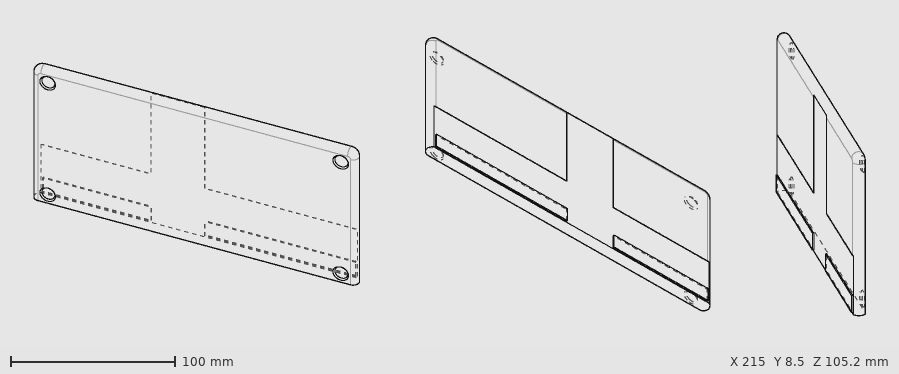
import cadquery as cq

width = 215.0
height = 105.2
overall_thickness = 8.5
strip_projection = 0.6
thickness = overall_thickness - strip_projection
rim_radius = thickness / 2
corner_radius = 6.0

dish_outer_radius = 5.2
dish_floor_radius = 4.3
dish_depth = 1.0
dish_from_side = 10.5
dish_from_bottom = 6.9
dish_from_top = 10.1

relief_depth = 0.2
band_height = 38.3
channel_left = -31.8
channel_right = 3.7

strip_bottom = 0.9
strip_height = 11.2

core_side = width / 2 - rim_radius
core_top = height - rim_radius
core_corner = corner_radius - rim_radius
relief_floor = thickness - relief_depth


def rim_path():
    """The rim centre line: up one side, across the top and down, with round corners."""
    arc_x = core_side - core_corner
    arc_z = core_top - core_corner
    arc_middle = core_corner * 0.5 ** 0.5
    return (
        cq.Workplane("XZ")
        .moveTo(-core_side, 0)
        .lineTo(-core_side, arc_z)
        .threePointArc((-arc_x - arc_middle, arc_z + arc_middle), (-arc_x, core_top))
        .lineTo(arc_x, core_top)
        .threePointArc((arc_x + arc_middle, arc_z + arc_middle), (core_side, arc_z))
        .lineTo(core_side, 0)
    )


def make_core():
    """The flat plate inside the rim."""
    return rim_path().close().extrude(-thickness)


def make_rim():
    """A half round swept along both sides and the top of the plate."""
    return (
        cq.Workplane("XY")
        .moveTo(-core_side, 0)
        .threePointArc((-width / 2, rim_radius), (-core_side, thickness))
        .close()
        .sweep(rim_path())
    )


def make_dish(x, z):
    """Cutter for one dish: a cone frustum that narrows from the front face inward."""
    return (
        cq.Workplane("XZ")
        .center(x, z)
        .circle(dish_outer_radius)
        .workplane(offset=-dish_depth)
        .circle(dish_floor_radius)
        .loft()
    )


def box_on_relief(left, right, bottom, top):
    """A block that reaches from the relief floor to the rearmost plane of the part."""
    return (
        cq.Workplane("XY")
        .box(right - left, overall_thickness - relief_floor, top - bottom, centered=False)
        .translate((left, relief_floor, bottom))
    )


def make_case():
    case = make_core().union(make_rim())
    dish_x = width / 2 - dish_from_side
    for x in (-dish_x, dish_x):
        for z in (dish_from_bottom, height - dish_from_top):
            case = case.cut(make_dish(x, z))
    band = box_on_relief(-width / 2, width / 2, 0, band_height)
    channel = box_on_relief(channel_left, channel_right, 0, height)
    return case.cut(band).cut(channel)


def make_strip(left, right):
    return box_on_relief(left, right, strip_bottom, strip_bottom + strip_height)


case = make_case()
strip_spans = [(-core_side, channel_left), (channel_right, core_side)]
strips = [make_strip(left, right) for left, right in strip_spans]

result = cq.Compound.makeCompound([case.val(), *[strip.val() for strip in strips]])